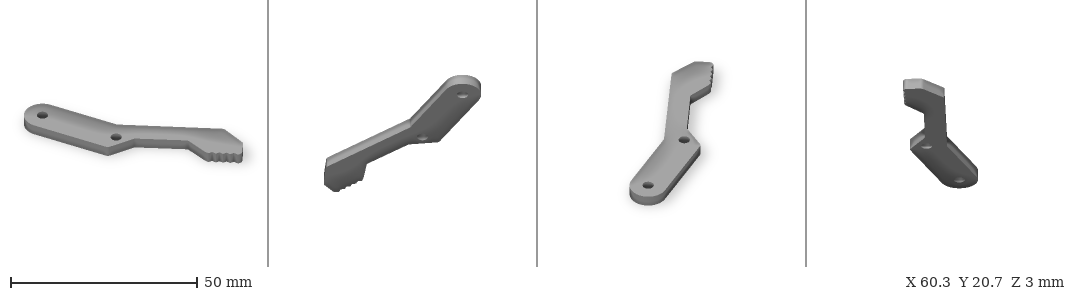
import cadquery as cq

thickness = 3.0
end_radius = 5.0
hole_diameter = 3.0
hole_spacing = 21.95

upper_knee = (19.8, end_radius)
peak = (46.45, 15.8)
nose_top = (53.7, 12.55)
lower_bend = (39.9, 7.0)
lower_knee = (26.7, 1.55)
heel = (21.9, -end_radius)
corner_radius = 1.0

tooth_count = 4
first_root = (46.2, 4.6)
tooth_pitch = (1.8, 0.7)
root_to_tip = (1.15, -0.2)

nose_side_end = (55.2, 9.05)
nose_bulge = (55.3, 8.4)


def tooth_root(index):
    return (
        first_root[0] + index * tooth_pitch[0],
        first_root[1] + index * tooth_pitch[1],
    )


def tooth_tip(index):
    root = tooth_root(index)
    return (root[0] + root_to_tip[0], root[1] + root_to_tip[1])


def lever_plate():
    outline = (
        cq.Workplane("XY")
        .moveTo(0, end_radius)
        .lineTo(*upper_knee)
        .lineTo(*peak)
        .lineTo(*nose_top)
        .lineTo(*nose_side_end)
        .threePointArc(nose_bulge, tooth_tip(tooth_count))
        .lineTo(*tooth_root(tooth_count))
    )
    for index in reversed(range(tooth_count)):
        outline = outline.lineTo(*tooth_tip(index)).lineTo(*tooth_root(index))
    return (
        outline.lineTo(*lower_bend)
        .lineTo(*lower_knee)
        .lineTo(*heel)
        .lineTo(0, -end_radius)
        .threePointArc((-end_radius, 0), (0, end_radius))
        .close()
        .extrude(thickness)
    )


def round_corner(body, corner, radius):
    vertical_edge = cq.selectors.NearestToPointSelector((*corner, thickness / 2))
    return body.edges("|Z").edges(vertical_edge).fillet(radius)


lever = lever_plate()
for corner in (peak, nose_top, lower_bend, lower_knee, heel):
    lever = round_corner(lever, corner, corner_radius)

result = (
    lever.faces(">Z")
    .workplane(origin=(0, 0, thickness))
    .pushPoints([(0, 0), (hole_spacing, 0)])
    .hole(hole_diameter)
)